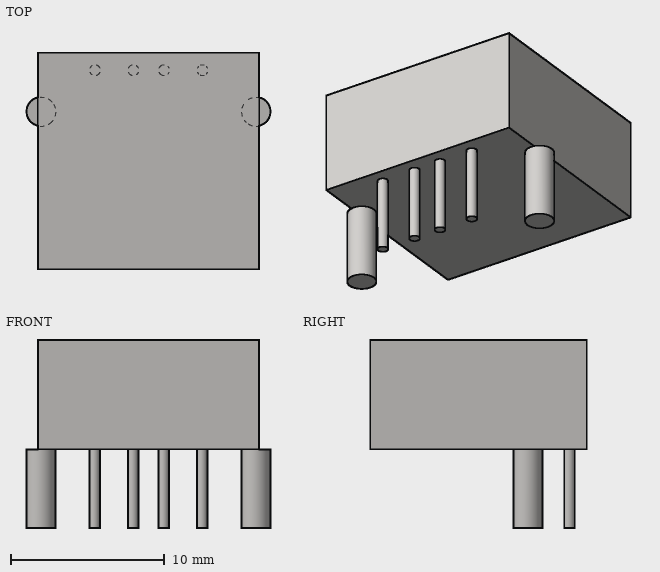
import cadquery as cq

housing_width = 14.4
housing_depth = 14.1
housing_height = 7.12
housing_back = housing_depth / 2

overall_height = 12.25
leg_length = overall_height - housing_height

pin_diameter = 0.7
pin_offsets = (1.0, 3.5)
pin_back_margin = 1.12
pin_y = housing_back - pin_back_margin

peg_diameter = 1.9
overall_width = 15.9
peg_offset = (overall_width - peg_diameter) / 2
pin_to_peg_spacing = 2.71
peg_y = pin_y - pin_to_peg_spacing


def make_housing():
    """Plain block standing on the XY plane."""
    return cq.Workplane("XY").box(
        housing_width, housing_depth, housing_height, centered=(True, True, False)
    )


def make_leg(diameter, x, y):
    """Round leg hanging from the housing underside."""
    return cq.Workplane("XY").center(x, y).circle(diameter / 2).extrude(-leg_length)


housing = make_housing()

contact_pins = []
for offset in pin_offsets:
    for side in (-1, 1):
        contact_pins.append(make_leg(pin_diameter, side * offset, pin_y))

mounting_pegs = []
for side in (-1, 1):
    mounting_pegs.append(make_leg(peg_diameter, side * peg_offset, peg_y))

legs = contact_pins + mounting_pegs
result = cq.Compound.makeCompound([housing.val(), *[leg.val() for leg in legs]])